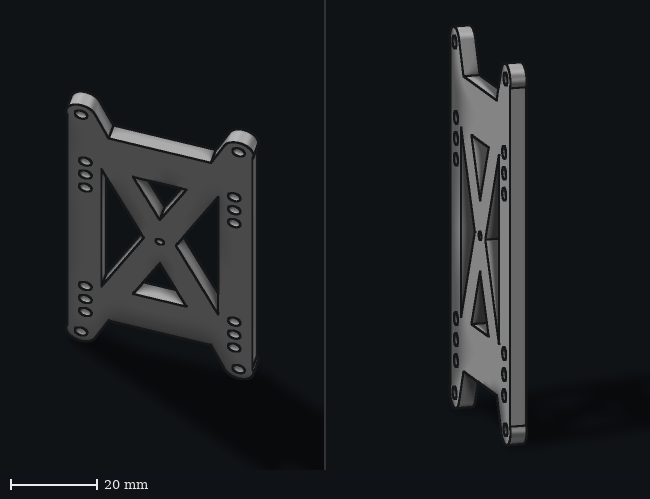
import cadquery as cq
import math

LENGTH = 90.9
WIDTH = 45.3
THICKNESS = 4.0
SIDE_X = 22.35

LUG_RADIUS = 3.6
LUG_X = WIDTH / 2 - LUG_RADIUS
LUG_Z = LENGTH / 2 - LUG_RADIUS

RECESS_X = 12.4
RECESS_Z = 35.2

WINDOW_Z = 22.5
SIDE_WINDOW_X = 14.1
SIDE_TIP_X = 3.9
END_WINDOW_X = 6.45
END_TIP_Z = 8.45

MOUNT_DIAMETER = 3.0
CENTRE_DIAMETER = 2.0
ROW_X = 18.0
ROW_PITCH = 5.0
ROW_COUNT = 3
UPPER_ROW_TOP_Z = 24.1
LOWER_ROW_TOP_Z = -23.9

lug_centres = [(x, z) for x in (-LUG_X, LUG_X) for z in (-LUG_Z, LUG_Z)]
row_centres = [
    (x, top_z - i * ROW_PITCH)
    for x in (-ROW_X, ROW_X)
    for top_z in (UPPER_ROW_TOP_Z, LOWER_ROW_TOP_Z)
    for i in range(ROW_COUNT)
]


def extrude(sketch):
    """Extrude a closed XZ sketch through the plate, centred on Y = 0."""
    return sketch.extrude(THICKNESS / 2, both=True)


def prism(points):
    return extrude(cq.Workplane("XZ").polyline(points).close())


def cylinders(centres, diameter):
    return extrude(cq.Workplane("XZ").pushPoints(centres).circle(diameter / 2))


def flank_tangent_point():
    """Point where the line from the recess corner touches the upper right lug."""
    run = LUG_X - RECESS_X
    rise = LUG_Z - RECESS_Z
    half_angle = math.asin(LUG_RADIUS / math.hypot(run, rise))
    slope = math.atan2(rise, run) + half_angle
    return (LUG_X - LUG_RADIUS * math.sin(slope), LUG_Z + LUG_RADIUS * math.cos(slope))


def plate():
    tangent_x, tangent_z = flank_tangent_point()
    upper_half = [
        (SIDE_X, LUG_Z),
        (LUG_X, LUG_Z),
        (tangent_x, tangent_z),
        (RECESS_X, RECESS_Z),
        (-RECESS_X, RECESS_Z),
        (-tangent_x, tangent_z),
        (-LUG_X, LUG_Z),
        (-SIDE_X, LUG_Z),
    ]
    lower_half = [(x, -z) for x, z in reversed(upper_half)]
    return prism(upper_half + lower_half).union(cylinders(lug_centres, 2 * LUG_RADIUS))


result = plate()

for side in (-1, 1):
    side_window = [
        (side * SIDE_WINDOW_X, WINDOW_Z),
        (side * SIDE_TIP_X, 0),
        (side * SIDE_WINDOW_X, -WINDOW_Z),
    ]
    end_window = [
        (-END_WINDOW_X, side * WINDOW_Z),
        (0, side * END_TIP_Z),
        (END_WINDOW_X, side * WINDOW_Z),
    ]
    result = result.cut(prism(side_window)).cut(prism(end_window))

result = result.cut(cylinders(lug_centres + row_centres, MOUNT_DIAMETER))
result = result.cut(cylinders([(0, 0)], CENTRE_DIAMETER))